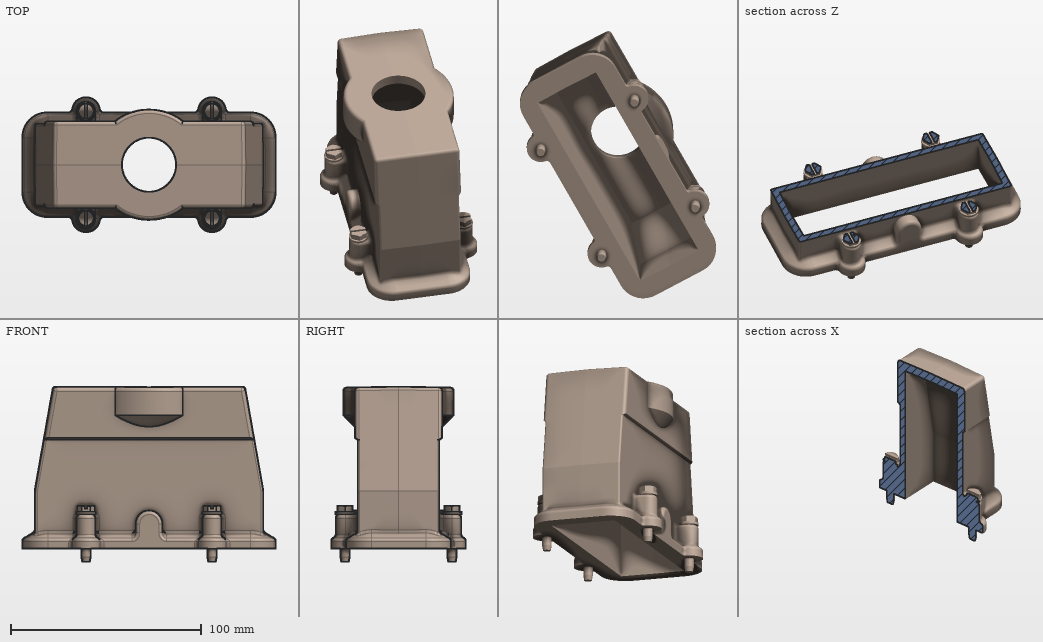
import cadquery as cq
import math

HOOD_TOP = 85.0
HOOD_HALF_LENGTH = 60.0
LEAN_START = 30.4
LEAN_ANGLE = 10.0
DRAFT_ANGLE = 1.0
LOWER_HALF_WIDTH = 21.5
UPPER_HALF_WIDTH = 22.9
STEP_BOTTOM = 57.1
STEP_TOP = 58.1
UPPER_ROUND = 2.0
LOWER_ROUND = 1.0

COLLAR_RADIUS = 29.0
COLLAR_BOTTOM = 70.0
ENTRY_DIAMETER = 28.3

WALL = 4.0
ROOF = 5.5

FLANGE_HALF_LENGTH = 133.0 / 2
FLANGE_HALF_WIDTH = 55.0 / 2
FLANGE_CORNER = 13.3
FLANGE_EDGE = 5.0
FLANGE_SLOPE = 30.0
SLOPE_RISE = 5.2
RIM_ROUND = 2.0
FOOT_ROUND = 2.0

ARCH_RADIUS = 7.0
ARCH_TOP = 20.0
ARCH_FOOT_ROUND = 2.0

POST_X = 33.05
EAR_RADIUS = 7.35
POST_Y = 70.8 / 2 - EAR_RADIUS
EAR_SLOPE_WIDTH = 3.5
POST_RADIUS = 9.8 / 2
POST_TOP = 18.0
POST_ROUND = 2.0

WASHER_RADIUS = 5.0
WASHER_THICKNESS = 1.3
HEAD_SIDES = 6
HEAD_ACROSS_FLATS = 8.0
HEAD_HEIGHT = 3.2
BEVEL_ANGLE = 30.0
SLOT_WIDTH = 1.3
SLOT_DEPTH = 1.6
SHANK_RADIUS = 5.0 / 2
SHANK_END = -4.4
TIP_RADIUS = 2.0
TIP_END = -7.0

TOLERANCE = 0.02


def block(x_range, y_range, z_range):
    """Box between the given limits."""
    size = [high - low for low, high in (x_range, y_range, z_range)]
    corner = (x_range[0], y_range[0], z_range[0])
    return cq.Workplane().box(*size, centered=False).translate(corner)


def revolved(outline):
    """Turn a (radius, height) outline around Z."""
    return cq.Workplane("XZ").polyline(outline).close().revolve(360, (0, 0), (0, 1))


def edges_where(body, test):
    """Edges on which every sampled point passes the test."""
    samples = (0, 0.25, 0.5, 0.75, 1)
    found = [e for e in body.edges().vals() if all(test(e.positionAt(s)) for s in samples)]
    return body.newObject(found)


def near(value, target):
    return abs(value - target) < TOLERANCE


def with_mirror(body, plane):
    return body.union(body.mirror(plane))


def end_x(half_length, z):
    """Distance of a leaning end from X = 0 at height z, on the middle plane."""
    return half_length - max(0, z - LEAN_START) * math.tan(math.radians(LEAN_ANGLE))


def hood_half(half_length, top, half_width):
    """Front half (Y < 0) of a leaning-ended block, drafted from Y = 0 and reaching below Z = 0."""
    right_side = [(half_length, z) for z in (-LEAN_START, LEAN_START)]
    right_side.append((end_x(half_length, top), top))
    left_side = [(-x, z) for x, z in reversed(right_side)]
    outline = right_side + left_side
    return cq.Workplane("XZ").polyline(outline).close().extrude(half_width, taper=DRAFT_ANGLE)


def on_hood_end(point):
    """On a leaning end, allowing for its draft."""
    return abs(point.x) > end_x(HOOD_HALF_LENGTH, point.z) - LOWER_ROUND


def on_roof_end(point):
    return on_hood_end(point) and point.z > HOOD_TOP - UPPER_ROUND


def on_lower_corner(point):
    return on_hood_end(point) and near(point.y, -LOWER_HALF_WIDTH)


def upper_hood():
    """Wider upper part of the hood, stepping in to the lower part along a short slope."""
    half = hood_half(HOOD_HALF_LENGTH, HOOD_TOP, UPPER_HALF_WIDTH)
    half = half.faces("<Y").edges("not <Z").add(edges_where(half, on_roof_end)).fillet(UPPER_ROUND)
    section = [
        (0, STEP_BOTTOM),
        (-LOWER_HALF_WIDTH, STEP_BOTTOM),
        (-UPPER_HALF_WIDTH, STEP_TOP),
        (-UPPER_HALF_WIDTH, HOOD_TOP),
        (0, HOOD_TOP),
    ]
    profile = cq.Workplane("YZ").polyline(section).close().extrude(HOOD_HALF_LENGTH, both=True)
    return with_mirror(half.intersect(profile), "XZ")


def on_collar_rim(point):
    return near(math.hypot(point.x, point.y), COLLAR_RADIUS) and point.z > HOOD_TOP - UPPER_ROUND


def collar():
    cone_tip = COLLAR_BOTTOM - COLLAR_RADIUS
    outline = [(0, cone_tip), (COLLAR_RADIUS, COLLAR_BOTTOM), (COLLAR_RADIUS, HOOD_TOP), (0, HOOD_TOP)]
    half = revolved(outline).intersect(hood_half(HOOD_HALF_LENGTH, HOOD_TOP, COLLAR_RADIUS))
    half = edges_where(half, on_collar_rim).fillet(UPPER_ROUND)
    return with_mirror(half, "XZ")


def flange_block():
    """Whole flange: upright rim and slope, its top hidden inside the hood."""
    plate = cq.Workplane().rect(2 * FLANGE_HALF_LENGTH, 2 * FLANGE_HALF_WIDTH).extrude(FLANGE_EDGE)
    plate = plate.edges("|Z").fillet(FLANGE_CORNER)
    top_wire = plate.faces(">Z").wires().toPending().workplane()
    slope = top_wire.extrude(SLOPE_RISE, taper=90 - FLANGE_SLOPE, combine=False)
    return plate.union(slope)


def ear():
    """Round flange lobe under a post, sloped like the flange."""
    flat_radius = EAR_RADIUS - EAR_SLOPE_WIDTH
    flat_height = FLANGE_EDGE + EAR_SLOPE_WIDTH * math.tan(math.radians(FLANGE_SLOPE))
    outline = [
        (0, 0),
        (EAR_RADIUS, 0),
        (EAR_RADIUS, FLANGE_EDGE),
        (flat_radius, flat_height),
        (0, flat_height),
    ]
    return revolved(outline).translate((POST_X, -POST_Y, 0))


def arch():
    centre_z = ARCH_TOP - ARCH_RADIUS
    legs = block((-ARCH_RADIUS, ARCH_RADIUS), (-FLANGE_HALF_WIDTH, 0), (0, centre_z))
    crown = cq.Workplane("XZ").center(0, centre_z).circle(ARCH_RADIUS).extrude(FLANGE_HALF_WIDTH)
    return legs.union(crown)


def post(height):
    """Screw post, round in front and running straight back into the hood."""
    round_front = cq.Workplane().center(POST_X, -POST_Y).circle(POST_RADIUS).extrude(height)
    neck = block((POST_X - POST_RADIUS, POST_X + POST_RADIUS), (-POST_Y, 0), (0, height))
    return round_front.union(neck)


def on_arch_foot(point):
    """Where an arch leg meets the flange slope."""
    inset = (point.z - FLANGE_EDGE) / math.tan(math.radians(FLANGE_SLOPE))
    return near(point.x, ARCH_RADIUS) and near(point.y, inset - FLANGE_HALF_WIDTH)


def on_ear_seam(point):
    """Equally far inside the ear outline and the straight flange side."""
    inside_ear = EAR_RADIUS - math.hypot(point.x - POST_X, point.y + POST_Y)
    return near(inside_ear, point.y + FLANGE_HALF_WIDTH)


def on_rim(point):
    """Upper rim of the flange and ears, running up over the arch."""
    above = point.z > FLANGE_EDGE - TOLERANCE
    return near(point.z, FLANGE_EDGE) or near(point.y, -FLANGE_HALF_WIDTH) and above


def on_post_side(point):
    across = abs(point.x - POST_X)
    if point.y < -POST_Y:
        across = math.hypot(across, point.y + POST_Y)
    return near(across, POST_RADIUS)


def on_hood_side(point):
    on_long_side = near(point.y, -LOWER_HALF_WIDTH)
    end_start = HOOD_HALF_LENGTH - 2 * LOWER_ROUND
    on_end = end_start < point.x < HOOD_HALF_LENGTH + TOLERANCE
    return on_long_side or on_end and point.y > -LOWER_HALF_WIDTH


def on_foot_level(point):
    return FLANGE_EDGE + TOLERANCE < point.z < FLANGE_EDGE + SLOPE_RISE - TOLERANCE


def on_hood_foot(point):
    """Where the flange slope meets the hood."""
    return on_foot_level(point) and on_hood_side(point)


def on_post_foot(point):
    """Where the flange and ear slopes meet the post."""
    return on_foot_level(point) and on_post_side(point)


def on_post_root(point):
    """Where the post runs into the long side of the hood."""
    beside_post = abs(point.x - POST_X) < POST_RADIUS + TOLERANCE
    below_top = point.z < POST_TOP + TOLERANCE
    return near(point.y, -LOWER_HALF_WIDTH) and beside_post and below_top


def quarter_flange(quarter):
    """Flange with its ear, arch and the lower end of the post."""
    base = flange_block().union(ear()).union(arch()).intersect(quarter)
    base = edges_where(base, on_arch_foot).fillet(ARCH_FOOT_ROUND)
    base = base.union(post(POST_TOP - POST_ROUND).intersect(quarter))
    base = edges_where(base, on_ear_seam).add(edges_where(base, on_rim)).fillet(RIM_ROUND)
    return edges_where(base, on_post_foot).fillet(FOOT_ROUND)


def quarter_lower_hood():
    hood = hood_half(HOOD_HALF_LENGTH, HOOD_TOP, LOWER_HALF_WIDTH)
    below_step = block((0, HOOD_HALF_LENGTH), (-LOWER_HALF_WIDTH, 0), (0, STEP_TOP))
    hood = hood.intersect(below_step)
    return edges_where(hood, on_lower_corner).fillet(LOWER_ROUND)


def body_quarter():
    """Quarter X > 0, Y < 0 of the flange, lower hood and post, rounded where each pair of them meets."""
    quarter = block((0, 2 * FLANGE_HALF_LENGTH), (-2 * FLANGE_HALF_LENGTH, 0), (0, HOOD_TOP))
    hood = quarter_lower_hood()

    plain_flange = flange_block().intersect(quarter)
    plain_flange = edges_where(plain_flange, on_rim).fillet(RIM_ROUND)
    hood_on_flange = hood.union(plain_flange)
    hood_on_flange = edges_where(hood_on_flange, on_hood_foot).fillet(FOOT_ROUND)

    rounded_post = post(POST_TOP).faces(">Z").edges("not >Y").fillet(POST_ROUND)
    post_on_hood = hood.union(rounded_post.intersect(quarter))
    post_on_hood = edges_where(post_on_hood, on_post_root).fillet(POST_ROUND)

    return quarter_flange(quarter).union(hood_on_flange).union(post_on_hood)


def screw_head():
    """Slotted hexagon head on its washer, standing on the post top."""
    washer_top = POST_TOP + WASHER_THICKNESS
    head_top = washer_top + HEAD_HEIGHT
    across_corners = HEAD_ACROSS_FLATS / math.cos(math.pi / HEAD_SIDES)
    bevel = (across_corners - HEAD_ACROSS_FLATS) / 2
    bevel_drop = bevel * math.tan(math.radians(BEVEL_ANGLE))
    washer = cq.Workplane().workplane(offset=POST_TOP).circle(WASHER_RADIUS).extrude(WASHER_THICKNESS)
    head = cq.Workplane().workplane(offset=washer_top).polygon(HEAD_SIDES, across_corners)
    head = head.extrude(HEAD_HEIGHT)
    head_limit = [
        (0, washer_top),
        (across_corners / 2, washer_top),
        (across_corners / 2, head_top - bevel_drop),
        (HEAD_ACROSS_FLATS / 2, head_top),
        (0, head_top),
    ]
    head = head.intersect(revolved(head_limit))
    slot = cq.Workplane().workplane(offset=head_top).rect(SLOT_WIDTH, across_corners).extrude(-SLOT_DEPTH)
    return washer.union(head.cut(slot))


def screw_shank():
    """End of the screw below the flange, with a tapered tip."""
    outline = [(0, TIP_END), (TIP_RADIUS, TIP_END), (SHANK_RADIUS, SHANK_END), (SHANK_RADIUS, 0), (0, 0)]
    return revolved(outline)


def cavity():
    half_length = HOOD_HALF_LENGTH - WALL
    half_width = LOWER_HALF_WIDTH - WALL
    return with_mirror(hood_half(half_length, HOOD_TOP - ROOF, half_width), "XZ")


def with_screws(body):
    for side_x in (-1, 1):
        for side_y in (-1, 1):
            place = (side_x * POST_X, side_y * POST_Y, 0)
            body = body.union(screw_head().translate(place)).union(screw_shank().translate(place))
    return body


entry_hole = cq.Workplane().circle(ENTRY_DIAMETER / 2).extrude(HOOD_TOP)

body = with_mirror(with_mirror(body_quarter(), "YZ"), "XZ")
body = body.union(upper_hood()).union(collar())
body = body.cut(cavity()).cut(entry_hole)
result = with_screws(body)